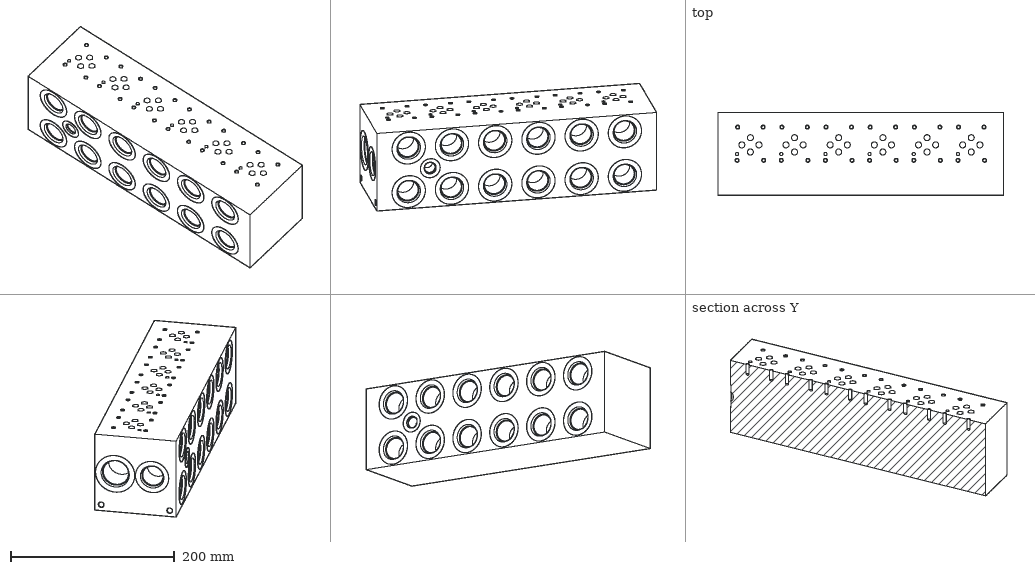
import cadquery as cq
import math

LENGTH = 349.2
SIDE = 101.5
LEFT = -LENGTH / 2
FRONT = -SIDE / 2
BACK = SIDE / 2
BOTTOM = -SIDE / 2
TOP = SIDE / 2

STATION_COUNT = 6
STATION_PITCH = 53.95
FIRST_STATION_X = LEFT + 39.8
STATION_XS = [FIRST_STATION_X + i * STATION_PITCH for i in range(STATION_COUNT)]

SPOTFACE_DEPTH = 0.52
LARGE_PORT = dict(spotface=49.0, mouth=35.3, seat=33.2, cone_depth=3.5, bore=31.5, depth=35.0)
MEDIUM_PORT = dict(spotface=41.5, mouth=29.5, seat=27.0, cone_depth=3.5, bore=25.0, depth=31.5)
GAUGE_PORT = dict(spotface=24.8, mouth=15.0, seat=14.3, cone_depth=2.5, bore=13.0, depth=19.2)

WORK_PORT_ROW_OFFSET = 28.45
GAUGE_PORT_X = LEFT + 66.7
TANK_PORT_Y = BACK - 25.5
PRESSURE_PORT_Y = FRONT + 30.0

DRILL_POINT_ANGLE = 118.0
END_BOLT = dict(mouth=7.5, bore=6.3, depth=14.0)
END_BOLT_INSET = 8.0
VALVE_BOLT = dict(mouth=5.0, bore=4.0, depth=14.0)

REAR_BOLT_ROW_Y = BACK - 18.0
BOLT_ROW_SPACING = 40.5
REAR_BOLT_HALF_SPAN = 15.55
FRONT_BOLT_HALF_SPAN = 16.25
PASSAGE_DIAMETER = 7.5
PASSAGE_DEPTH = 21.0
PASSAGE_CENTRE_Y = REAR_BOLT_ROW_Y - 21.5
PASSAGE_OFFSET_X = 10.5
PASSAGE_OFFSET_Y = 8.7
PIN_DIAMETER = 4.0
PIN_DEPTH = 4.2
PIN_FROM_FRONT_BOLT = 7.7


def revolved_cutter(profile):
    """Turn (radius, depth) points into a cutter that sinks along -Z from the origin."""
    points = [(radius, -depth) for radius, depth in profile]
    return cq.Workplane("XZ").polyline(points).close().revolve(360, (0, 0, 0), (0, 1, 0))


def port_cutter(port):
    spotface_radius = port["spotface"] / 2
    seat_radius = port["seat"] / 2
    bore_radius = port["bore"] / 2
    return revolved_cutter([
        (0, 0),
        (spotface_radius, 0),
        (spotface_radius, SPOTFACE_DEPTH),
        (port["mouth"] / 2, SPOTFACE_DEPTH),
        (seat_radius, port["cone_depth"]),
        (bore_radius, port["cone_depth"] + seat_radius - bore_radius),
        (bore_radius, port["depth"]),
        (0, port["depth"]),
    ])


def tapped_cutter(hole):
    mouth_radius = hole["mouth"] / 2
    bore_radius = hole["bore"] / 2
    tip_length = bore_radius / math.tan(math.radians(DRILL_POINT_ANGLE / 2))
    return revolved_cutter([
        (0, 0),
        (mouth_radius, 0),
        (bore_radius, mouth_radius - bore_radius),
        (bore_radius, hole["depth"]),
        (0, hole["depth"] + tip_length),
    ])


def plain_cutter(diameter, depth):
    return cq.Workplane("XY").circle(diameter / 2).extrude(-depth)


def into_front(cutter, x, z):
    return cutter.rotate((0, 0, 0), (1, 0, 0), 90).translate((x, FRONT, z))


def into_left(cutter, y, z):
    return cutter.rotate((0, 0, 0), (0, 1, 0), -90).translate((LEFT, y, z))


def into_top(cutter, x, y):
    return cutter.translate((x, y, TOP))


def front_face_cutters():
    work_port = port_cutter(MEDIUM_PORT)
    cutters = [into_front(port_cutter(GAUGE_PORT), GAUGE_PORT_X, 0)]
    for x in STATION_XS:
        for z in (-WORK_PORT_ROW_OFFSET, WORK_PORT_ROW_OFFSET):
            cutters.append(into_front(work_port, x, z))
    return cutters


def left_face_cutters():
    end_bolt = tapped_cutter(END_BOLT)
    end_bolt_z = BOTTOM + END_BOLT_INSET
    return [
        into_left(port_cutter(LARGE_PORT), TANK_PORT_Y, 0),
        into_left(port_cutter(MEDIUM_PORT), PRESSURE_PORT_Y, 0),
        into_left(end_bolt, FRONT + END_BOLT_INSET, end_bolt_z),
        into_left(end_bolt, BACK - END_BOLT_INSET, end_bolt_z),
    ]


def valve_station_cutters(x):
    bolt = tapped_cutter(VALVE_BOLT)
    passage = plain_cutter(PASSAGE_DIAMETER, PASSAGE_DEPTH)
    front_bolt_row_y = REAR_BOLT_ROW_Y - BOLT_ROW_SPACING
    pin_y = front_bolt_row_y + PIN_FROM_FRONT_BOLT
    cutters = [into_top(plain_cutter(PIN_DIAMETER, PIN_DEPTH), x - FRONT_BOLT_HALF_SPAN, pin_y)]
    for side in (-1, 1):
        cutters += [
            into_top(bolt, x + side * REAR_BOLT_HALF_SPAN, REAR_BOLT_ROW_Y),
            into_top(bolt, x + side * FRONT_BOLT_HALF_SPAN, front_bolt_row_y),
            into_top(passage, x + side * PASSAGE_OFFSET_X, PASSAGE_CENTRE_Y),
            into_top(passage, x, PASSAGE_CENTRE_Y + side * PASSAGE_OFFSET_Y),
        ]
    return cutters


cutters = front_face_cutters() + left_face_cutters()
for station_x in STATION_XS:
    cutters += valve_station_cutters(station_x)

block = cq.Workplane("XY").box(LENGTH, SIDE, SIDE).val()
result = cq.Workplane("XY").newObject([block.cut(*[cutter.val() for cutter in cutters])])